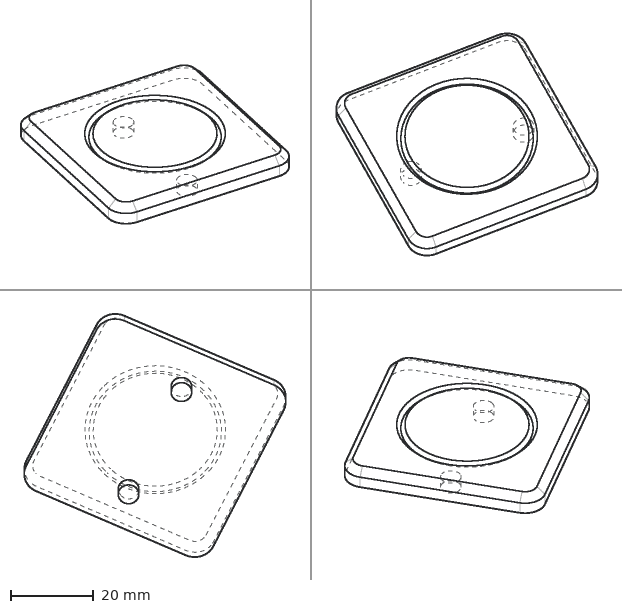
import cadquery as cq

plate_side = 50.0
plate_thickness = 5.0
corner_radius = 5.0
top_chamfer = 2.0

groove_mid_radius = 16.0
groove_half_width = 1.0
groove_depth = 1.0

peg_diameter = 5.0
peg_length = 3.0
peg_spacing = 30.0


def make_plate():
    """Square plate on Z = 0 with rounded corners and a chamfered top rim."""
    plate = cq.Workplane("XY").box(
        plate_side, plate_side, plate_thickness, centered=(True, True, False)
    )
    return plate.edges("|Z").fillet(corner_radius).faces(">Z").edges().chamfer(top_chamfer)


def make_groove():
    """Ring with a triangular section, revolved about Z, point downwards."""
    section = cq.Workplane("XZ").polyline(
        [
            (groove_mid_radius - groove_half_width, plate_thickness),
            (groove_mid_radius, plate_thickness - groove_depth),
            (groove_mid_radius + groove_half_width, plate_thickness),
        ]
    )
    return section.close().revolve(360, (0, 0, 0), (0, 1, 0))


def make_pegs():
    """Two round pegs on the X axis, hanging from the underside."""
    centres = [(-peg_spacing / 2, 0), (peg_spacing / 2, 0)]
    return cq.Workplane("XY").pushPoints(centres).circle(peg_diameter / 2).extrude(-peg_length)


result = make_plate().cut(make_groove()).union(make_pegs())